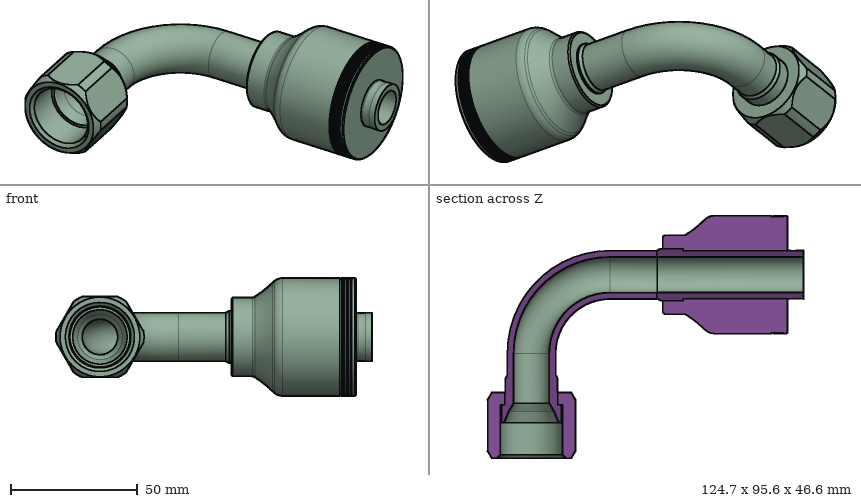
import cadquery as cq
import math


overall_length = 124.7

nut_corner_diameter = 34.8
nut_across_flats = 31.9
nut_length = 26.0
nut_front_y = -72.3
nut_face_radius = 15.7
nut_chamfer_length = 2.9
nut_bore_radius = 12.2
nut_mouth_radius = 13.6
nut_mouth_chamfer = 1.4
nut_shoulder_thickness = 5.0

tube_radius = 9.6
bore_radius = 7.0
bend_radius = 30.9
collar_radius = 10.4
collar_taper = 1.5
collar_start_y = -40.9
flange_radius = 11.8
seat_depth = 14.1
seat_mouth_radius = 10.7
seat_throat_radius = 8.9
seat_length = 4.5
throat_length = 3.1

stem_start_x = 49.5
tip_groove_start_x = 101.7
tip_groove_length = 3.0
tip_groove_depth = 0.1

shell_start_x = 51.8
shell_end_x = 101.0
shell_radius = 23.3
neck_radius = 15.6
neck_edge_chamfer = 0.6
neck_end_x = 60.0
flare_start_x = 61.1
flare_start_radius = 16.0
flare_end_x = 67.9
flare_end_radius = 21.3
flare_sag = 0.2
shoulder_start_x = 68.7
shoulder_start_radius = 22.1
shoulder_end_x = 72.0
shell_end_chamfer = 0.5
groove_count = 4
groove_pitch = 1.4
groove_width = 0.6
groove_depth = 0.4
first_groove_x = 94.9

nut_corner_radius = nut_corner_diameter / 2
nut_back_y = nut_front_y + nut_length
nut_shoulder_y = nut_back_y - nut_shoulder_thickness
seat_face_y = nut_front_y + seat_depth
tip_end_x = overall_length - nut_corner_radius
ORIGIN = (0, 0, 0)
X_AXIS = (1, 0, 0)
Y_AXIS = (0, 1, 0)


def revolve_about_x(profile):
    return profile.close().revolve(360, ORIGIN, X_AXIS)


def revolve_about_y(profile):
    return profile.close().revolve(360, ORIGIN, Y_AXIS)


def make_nut():
    hexagon = (
        cq.Workplane("XZ", origin=(0, nut_back_y, 0))
        .polygon(6, nut_across_flats / math.cos(math.pi / 6))
        .extrude(nut_length)
    )
    envelope = revolve_about_y(
        cq.Workplane("XY")
        .moveTo(0, nut_front_y)
        .lineTo(nut_face_radius, nut_front_y)
        .lineTo(nut_corner_radius, nut_front_y + nut_chamfer_length)
        .lineTo(nut_corner_radius, nut_back_y - nut_chamfer_length)
        .lineTo(nut_face_radius, nut_back_y)
        .lineTo(0, nut_back_y)
    )
    bore = revolve_about_y(
        cq.Workplane("XY")
        .moveTo(0, nut_front_y)
        .lineTo(nut_mouth_radius, nut_front_y)
        .lineTo(nut_bore_radius, nut_front_y + nut_mouth_chamfer)
        .lineTo(nut_bore_radius, nut_shoulder_y)
        .lineTo(collar_radius, nut_shoulder_y)
        .lineTo(collar_radius, nut_back_y)
        .lineTo(0, nut_back_y)
    )
    return hexagon.intersect(envelope).cut(bore)


def bent_rod(radius):
    diagonal = bend_radius * (1 - math.sqrt(0.5))
    path = (
        cq.Workplane("XY")
        .moveTo(0, seat_face_y)
        .lineTo(0, -bend_radius)
        .threePointArc((diagonal, -diagonal), (bend_radius, 0))
        .lineTo(stem_start_x, 0)
    )
    return cq.Workplane("XZ", origin=(0, seat_face_y, 0)).circle(radius).sweep(path)


def make_tube():
    head = revolve_about_y(
        cq.Workplane("XY")
        .moveTo(0, seat_face_y)
        .lineTo(flange_radius, seat_face_y)
        .lineTo(flange_radius, nut_shoulder_y)
        .lineTo(collar_radius, nut_shoulder_y)
        .lineTo(collar_radius, collar_start_y)
        .lineTo(tube_radius, collar_start_y + collar_taper)
        .lineTo(0, collar_start_y + collar_taper)
    )
    seat_end_y = seat_face_y + seat_length
    seat = revolve_about_y(
        cq.Workplane("XY")
        .moveTo(0, seat_face_y)
        .lineTo(seat_mouth_radius, seat_face_y)
        .lineTo(seat_throat_radius, seat_end_y)
        .lineTo(bore_radius, seat_end_y + throat_length)
        .lineTo(0, seat_end_y + throat_length)
    )
    return bent_rod(tube_radius).union(head).cut(bent_rod(bore_radius)).cut(seat)


def make_stem():
    groove_end_x = tip_groove_start_x + tip_groove_length
    groove_middle = (
        tip_groove_start_x + tip_groove_length / 2,
        tube_radius - tip_groove_depth,
    )
    return revolve_about_x(
        cq.Workplane("XY")
        .moveTo(stem_start_x, bore_radius)
        .lineTo(stem_start_x, tube_radius)
        .lineTo(stem_start_x + collar_taper, collar_radius)
        .lineTo(neck_end_x, collar_radius)
        .lineTo(neck_end_x, tube_radius)
        .lineTo(tip_groove_start_x, tube_radius)
        .threePointArc(groove_middle, (groove_end_x, tube_radius))
        .lineTo(tip_end_x, tube_radius)
        .lineTo(tip_end_x, bore_radius)
    )


def make_shell():
    flare_run = flare_end_x - flare_start_x
    flare_rise = flare_end_radius - flare_start_radius
    flare_chord = math.hypot(flare_run, flare_rise)
    flare_middle = (
        (flare_start_x + flare_end_x) / 2 + flare_sag * flare_rise / flare_chord,
        (flare_start_radius + flare_end_radius) / 2 - flare_sag * flare_run / flare_chord,
    )
    shell = revolve_about_x(
        cq.Workplane("XY")
        .moveTo(shell_start_x, collar_radius)
        .lineTo(shell_start_x, neck_radius - neck_edge_chamfer)
        .lineTo(shell_start_x + neck_edge_chamfer, neck_radius)
        .lineTo(neck_end_x, neck_radius)
        .tangentArcPoint((flare_start_x, flare_start_radius), relative=False)
        .threePointArc(flare_middle, (flare_end_x, flare_end_radius))
        .lineTo(shoulder_start_x, shoulder_start_radius)
        .tangentArcPoint((shoulder_end_x, shell_radius), relative=False)
        .lineTo(shell_end_x - shell_end_chamfer, shell_radius)
        .lineTo(shell_end_x, shell_radius - shell_end_chamfer)
        .lineTo(shell_end_x, tube_radius)
        .lineTo(neck_end_x, tube_radius)
        .lineTo(neck_end_x, collar_radius)
    )
    for index in range(groove_count):
        groove_start_x = first_groove_x + index * groove_pitch - groove_width / 2
        groove = (
            cq.Workplane("YZ", origin=(groove_start_x, 0, 0))
            .circle(shell_radius)
            .circle(shell_radius - groove_depth)
            .extrude(groove_width)
        )
        shell = shell.cut(groove)
    return shell


nut = make_nut()
tube = make_tube()
stem = make_stem()
shell = make_shell()

result = cq.Compound.makeCompound([nut.val(), tube.val(), stem.val(), shell.val()])